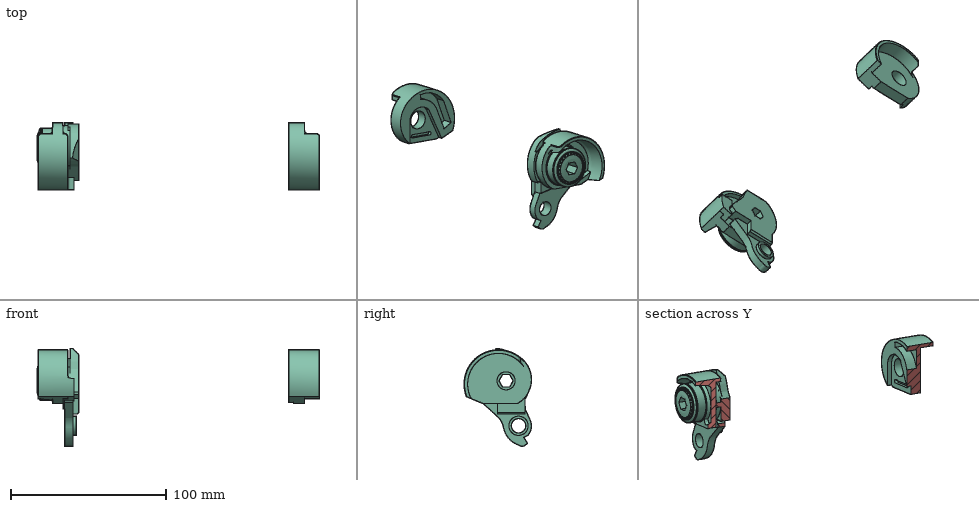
import cadquery as cq
import math

total_length = 182.0

rim_radius = 22.2
rim_center_y = -5.0
rim_center_z = -2.2
rim_inner_radius = 19.8
rim_end_y = 9.3
rim_end_z = rim_center_z + math.sqrt(rim_radius**2 - (rim_end_y - rim_center_y) ** 2)
rim_end_round = 2.2
rim_edge_bevel = 0.4
tab_root_round = 2.0
toe_z = -10.2
toe_y = rim_center_y - math.sqrt(rim_radius**2 - (toe_z - rim_center_z) ** 2)
plate_radius = 16.4
plate_bottom_z = -14.7
plate_bottom_front_y = -15.0
plate_bottom_back_y = math.sqrt(plate_radius**2 - plate_bottom_z**2)

drive_outer_x = 0.7
drive_inner_x = 20.0
drive_plate_x = 10.2
drive_plate_inner_x = 16.7
seat_x = 3.3
boss_radius = 12.7
boss_foot = 0.5
boss_foot_bevel = 0.4
rim_foot_radius = 18.5
floor_pocket_depth = 2.2
floor_pocket_taper = 25
floor_pocket_inner_radius = 13.3
floor_pocket_end_y = -1.3
floor_pocket_toe_z = -7.6
pad_inner_x = 24.0
pad_back_y = -19.0
pad_top_z = 1.6
pad_back_bottom_z = -13.0
pad_root_round = 1.8

bolt_face_radius = 9.0
bolt_head_radius = 10.2
bolt_head_edge_x = 1.1
bolt_head_height = 1.8
bolt_crown_radius = 6.0
bolt_crown_drop = 0.4
bolt_shaft_radius = 7.6
hex_across_flats = 7.8
flange_face_x = 1.3
flange_face_radius = 10.7
flange_radius = boss_radius
flange_edge_x = 2.4
flange_mid_x = 1.6
flange_mid_radius = 11.8
groove_size = 0.4
notch_count = 24
notch_width = 1.0
notch_depth = 0.5
hanger_disc_radius = 14.4
hanger_plate_x = drive_inner_x
hanger_relief_x = 21.5
hanger_relief_z = 9.0
hanger_inner_x = 27.1
hanger_top_z = 21.0
hanger_back_y = 12.2
hanger_front_y = -21.0
hanger_top_thickness = 1.5
hanger_top_bevel = 4.2
plate_shoulder_z = -11.5
plate_foot_z = -21.5
plate_foot_front_y = -5.5
plate_foot_bevel = 1.1
arm_outer_x = 17.8
arm_inner_x = 23.3
arm_back_y = 16.4
arm_top_z = -11.0
arm_bottom_z = -42.2
wedge_outer_x = 17.0
mount_y = 8.0
mount_z = -29.0
mount_hole_radius = 4.5
mount_boss_radius = 6.2
mount_boss_inner_x = 25.5

plain_inner_x = 162.0
plain_plate_outer_x = 172.5
axle_hole_radius = 5.8
hub_slot_depth = 3.1
hub_slot_radius = 9.1
hub_slot_back_y = 9.0
hub_slot_mouth_y = -17.1
kidney_depth = 7.3
kidney_inner_radius = 14.0
groove_depth = 2.4
groove_back_y = 5.5
groove_front_y = -10.4
groove_center_z = -10.2
groove_height = 2.2


def on_plane(x):
    """Sketch plane across the axle; sketch coordinates are Y, Z."""
    return cq.Workplane("YZ", origin=(x, 0, 0))


def disc(x_start, x_end, radius, y=0.0, z=0.0):
    """Cylinder along X."""
    return on_plane(x_start).center(y, z).circle(radius).extrude(x_end - x_start)


def axle_point(angle, radius):
    """Point on a circle around the axle, angle in degrees from +Y towards +Z."""
    a = math.radians(angle)
    return radius * math.cos(a), radius * math.sin(a)


def rim_point(angle, radius):
    """Point on a circle concentric with the rim, angle in degrees from +Y towards +Z."""
    y, z = axle_point(angle, radius)
    return rim_center_y + y, rim_center_z + z


def rim_blank(x_start, x_end):
    """Solid segment inside the rim circle, rounded at its back end."""
    blank = (
        on_plane(x_start)
        .moveTo(rim_end_y, rim_end_z)
        .threePointArc(rim_point(135, rim_radius), (toe_y, toe_z))
        .lineTo(plate_bottom_front_y, plate_bottom_z)
        .lineTo(rim_end_y, 0)
        .close()
        .extrude(x_end - x_start)
    )
    blank = blank.edges("|Z").fillet(rim_end_round)
    return blank.faces("<X or >X").edges("%CIRCLE").chamfer(rim_edge_bevel)


def plate(x_start, x_end):
    """Web of a dropout: rim outline in front, rounded around the axle at the back."""
    return (
        on_plane(x_start)
        .moveTo(rim_end_y, rim_end_z)
        .threePointArc(rim_point(135, rim_radius), (toe_y, toe_z))
        .lineTo(plate_bottom_front_y, plate_bottom_z)
        .lineTo(plate_bottom_back_y, plate_bottom_z)
        .threePointArc((plate_radius, 0), (rim_end_y, rim_end_z))
        .close()
        .extrude(x_end - x_start)
    )


def tab_fillet(x_face, direction):
    """Concave fillet between a face of the plate and the back end of the rim."""
    x_far = x_face + direction * tab_root_round
    x_start = min(x_face, x_far)
    y_far = rim_end_y + tab_root_round
    corner = cq.Workplane("XY").box(tab_root_round, tab_root_round, rim_radius, centered=False)
    corner = corner.translate((x_start, rim_end_y, 0))
    hollow = cq.Workplane("XY", origin=(x_far, y_far, 0)).circle(tab_root_round).extrude(rim_radius)
    recess = disc(x_start, x_start + tab_root_round, rim_inner_radius, rim_center_y, rim_center_z)
    return (
        corner.cut(hollow)
        .intersect(plate(x_start, x_start + tab_root_round))
        .cut(recess)
    )


def floor_pocket():
    """Shallow tapered pocket in the plate between the boss and the rim."""
    end_y = floor_pocket_end_y
    end_outer_z = rim_center_z + math.sqrt(rim_foot_radius**2 - (end_y - rim_center_y) ** 2)
    end_inner_z = math.sqrt(floor_pocket_inner_radius**2 - end_y**2)
    toe_corner_y = rim_center_y - math.sqrt(rim_foot_radius**2 - (floor_pocket_toe_z - rim_center_z) ** 2)
    r = floor_pocket_inner_radius
    return (
        on_plane(drive_plate_x)
        .moveTo(end_y, end_inner_z)
        .lineTo(end_y, end_outer_z)
        .threePointArc(rim_point(150, rim_foot_radius), (toe_corner_y, floor_pocket_toe_z))
        .lineTo(-13.3, -12.4)
        .threePointArc((-11.3, -12.4), (-10.4, -10.7))
        .lineTo(*axle_point(223, r))
        .threePointArc(axle_point(160, r), (end_y, end_inner_z))
        .close()
        .extrude(floor_pocket_depth, taper=floor_pocket_taper)
    )


def stop_pad():
    """Pad on the toe of the rim that the hanger leans against."""
    pad_length = pad_inner_x - drive_plate_inner_x
    reach = 2 * rim_radius
    root_mid = pad_root_round * (1 - math.sqrt(0.5))
    root = (
        cq.Workplane("XZ")
        .moveTo(drive_inner_x, pad_top_z)
        .lineTo(drive_inner_x + pad_root_round, pad_top_z)
        .threePointArc(
            (drive_inner_x + root_mid, pad_top_z + root_mid),
            (drive_inner_x, pad_top_z + pad_root_round),
        )
        .lineTo(drive_plate_inner_x, pad_top_z + pad_root_round)
        .lineTo(drive_plate_inner_x, pad_top_z)
        .close()
        .extrude(rim_radius)
        .translate((0, pad_back_y, 0))
    )
    block = (
        on_plane(drive_plate_inner_x)
        .polyline(
            [
                (pad_back_y, pad_top_z),
                (-reach, pad_top_z),
                (-reach, toe_z),
                (toe_y, toe_z),
                (pad_back_y, pad_back_bottom_z),
            ]
        )
        .close()
        .extrude(pad_length)
    )
    return block.union(root).intersect(
        disc(drive_plate_inner_x, pad_inner_x, rim_radius, rim_center_y, rim_center_z)
    )


def make_drive_dropout():
    rim_taper = cq.Workplane(
        cq.Solid.makeCone(
            rim_inner_radius,
            rim_foot_radius,
            drive_plate_x - drive_outer_x,
            cq.Vector(drive_outer_x, rim_center_y, rim_center_z),
            cq.Vector(1, 0, 0),
        )
    )
    inner_recess = disc(drive_plate_inner_x, drive_inner_x, rim_inner_radius, rim_center_y, rim_center_z)
    rim = rim_blank(drive_outer_x, drive_inner_x).cut(rim_taper).cut(inner_recess)
    boss = disc(seat_x, drive_plate_x, boss_radius).faces("<X").chamfer(groove_size)
    foot = disc(drive_plate_x - boss_foot, drive_plate_x, boss_radius + boss_foot)
    foot = foot.faces("<X").chamfer(boss_foot_bevel)
    body = plate(drive_plate_x, drive_plate_inner_x).union(rim).union(boss).union(foot).union(stop_pad())
    body = body.union(tab_fillet(drive_plate_x, -1)).union(tab_fillet(drive_plate_inner_x, 1))
    bolt_bore = disc(seat_x, drive_plate_inner_x, bolt_shaft_radius)
    return body.cut(floor_pocket()).cut(bolt_bore)


def bolt():
    """Bolt head, flange and shaft turned about the axle."""
    turned = (
        cq.Workplane("XY")
        .moveTo(0, 0)
        .lineTo(0, bolt_crown_radius)
        .lineTo(bolt_crown_drop, bolt_face_radius)
        .lineTo(bolt_head_edge_x, bolt_head_radius)
        .lineTo(bolt_head_height, bolt_head_radius)
        .lineTo(bolt_head_height, flange_face_radius)
        .lineTo(flange_face_x, flange_face_radius)
        .threePointArc((flange_mid_x, flange_mid_radius), (flange_edge_x, flange_radius))
        .lineTo(seat_x - groove_size, flange_radius)
        .lineTo(seat_x, flange_radius - groove_size)
        .lineTo(seat_x, bolt_shaft_radius)
        .lineTo(drive_plate_inner_x, bolt_shaft_radius)
        .lineTo(drive_plate_inner_x, 0)
        .close()
        .revolve(360, (0, 0, 0), (1, 0, 0))
    )
    notches = (
        on_plane(0)
        .polarArray(bolt_head_radius - notch_depth, 0, 360, notch_count)
        .rect(2 * notch_depth, notch_width)
        .extrude(bolt_head_height)
    )
    return turned.cut(notches)


def hanger_plate():
    """Upright inner plate with a beveled top."""
    body = (
        on_plane(hanger_plate_x)
        .moveTo(hanger_back_y, plate_foot_z)
        .lineTo(hanger_back_y, -11.8)
        .threePointArc((15.5, 1.8), (9.6, 14.5))
        .threePointArc((1.8, 19.0), (-6.4, hanger_top_z))
        .lineTo(-8.5, 17.0)
        .lineTo(-10.5, 12.2)
        .lineTo(-12.0, 7.3)
        .lineTo(-17.7, -1.6)
        .lineTo(hanger_front_y, -7.1)
        .lineTo(hanger_front_y, -8.7)
        .lineTo(-18.2, plate_shoulder_z)
        .lineTo(plate_foot_front_y, plate_shoulder_z)
        .lineTo(plate_foot_front_y, plate_foot_z)
        .close()
        .extrude(hanger_inner_x - hanger_plate_x)
    )
    bevel_x = hanger_relief_x + hanger_top_thickness
    top_bevel = (
        cq.Workplane("XZ")
        .polyline(
            [
                (bevel_x, 2 * hanger_top_z),
                (bevel_x, hanger_top_z),
                (hanger_inner_x, hanger_top_z - hanger_top_bevel),
                (hanger_inner_x, 2 * hanger_top_z),
            ]
        )
        .close()
        .extrude(rim_radius, both=True)
    )
    relief = (
        on_plane(hanger_plate_x)
        .moveTo(0, hanger_relief_z)
        .rect(2 * rim_radius, rim_radius, centered=(True, False))
        .extrude(hanger_relief_x - hanger_plate_x)
    )
    return body.faces("<Z").edges(">X").chamfer(plate_foot_bevel).cut(top_bevel).cut(relief)


def hanger_arm():
    """Lower arm that carries the derailleur, with a stop notch at its back."""
    arm = (
        on_plane(arm_outer_x)
        .moveTo(hanger_back_y, arm_top_z)
        .lineTo(12.4, -18.2)
        .lineTo(15.7, -25.5)
        .threePointArc((arm_back_y, -29.1), (13.8, -35.3))
        .lineTo(11.5, -36.5)
        .lineTo(13.8, -40.2)
        .lineTo(12.0, -41.7)
        .threePointArc((10.4, arm_bottom_z), (8.4, -41.5))
        .threePointArc((1.3, -36.6), (-1.6, -30.5))
        .threePointArc((-2.7, -27.0), (-4.5, -24.0))
        .lineTo(-7.3, plate_foot_z)
        .lineTo(-15.7, -13.8)
        .lineTo(-12.7, arm_top_z)
        .close()
        .extrude(arm_inner_x - arm_outer_x)
    )
    wedge = (
        on_plane(wedge_outer_x)
        .polyline([(hanger_back_y, arm_top_z), (12.4, -18.2), (0, -15.7), (0, arm_top_z)])
        .close()
        .extrude(arm_outer_x - wedge_outer_x)
    )
    mount_boss = disc(arm_inner_x, mount_boss_inner_x, mount_boss_radius, mount_y, mount_z)
    return arm.union(wedge).union(mount_boss)


def make_hanger():
    base = disc(drive_plate_inner_x, hanger_relief_x, hanger_disc_radius)
    body = base.union(hanger_plate()).union(hanger_arm()).union(bolt()).cut(stop_pad())
    mount_hole = disc(arm_outer_x, hanger_inner_x, mount_hole_radius, mount_y, mount_z)
    hex_socket = (
        on_plane(0)
        .polygon(6, hex_across_flats / math.cos(math.pi / 6))
        .extrude(hanger_inner_x)
    )
    return body.cut(mount_hole).cut(hex_socket)


def hub_slot():
    """Open recess that guides the hub end cap up to the axle hole."""
    top_back_z = math.sqrt(hub_slot_radius**2 - hub_slot_back_y**2)
    return (
        on_plane(plain_inner_x)
        .moveTo(hub_slot_back_y, top_back_z)
        .threePointArc((0, hub_slot_radius), axle_point(135, hub_slot_radius))
        .lineTo(hub_slot_mouth_y, plate_bottom_z)
        .lineTo(hub_slot_back_y, plate_bottom_z)
        .close()
        .extrude(hub_slot_depth)
    )


def kidney_pocket():
    """Lightening pocket between the axle hole and the rim."""
    r = kidney_inner_radius
    return (
        on_plane(plain_inner_x)
        .moveTo(0.4, 17.3)
        .threePointArc((-11.0, 16.4), (-18.2, 10.7))
        .lineTo(-24.2, -4.5)
        .lineTo(-18.8, -8.0)
        .lineTo(*axle_point(157, r))
        .threePointArc(axle_point(127, r), axle_point(97, r))
        .lineTo(0, r)
        .close()
        .extrude(kidney_depth)
    )


def make_plain_dropout():
    outer_recess = disc(plain_plate_outer_x, total_length, rim_inner_radius, rim_center_y, rim_center_z)
    rim = rim_blank(plain_inner_x, total_length).cut(outer_recess)
    body = plate(plain_inner_x, plain_plate_outer_x).union(rim)
    body = body.union(tab_fillet(plain_plate_outer_x, 1))
    axle_hole = disc(plain_inner_x, plain_plate_outer_x, axle_hole_radius)
    groove = (
        on_plane(plain_inner_x + hub_slot_depth)
        .center((groove_back_y + groove_front_y) / 2, groove_center_z)
        .slot2D(groove_back_y - groove_front_y, groove_height)
        .extrude(groove_depth)
    )
    return body.cut(hub_slot()).cut(kidney_pocket()).cut(groove).cut(axle_hole)


drive_dropout = make_drive_dropout().solids()
hanger = make_hanger().solids()
plain_dropout = make_plain_dropout().solids()

result = cq.Compound.makeCompound([drive_dropout.val(), hanger.val(), plain_dropout.val()])